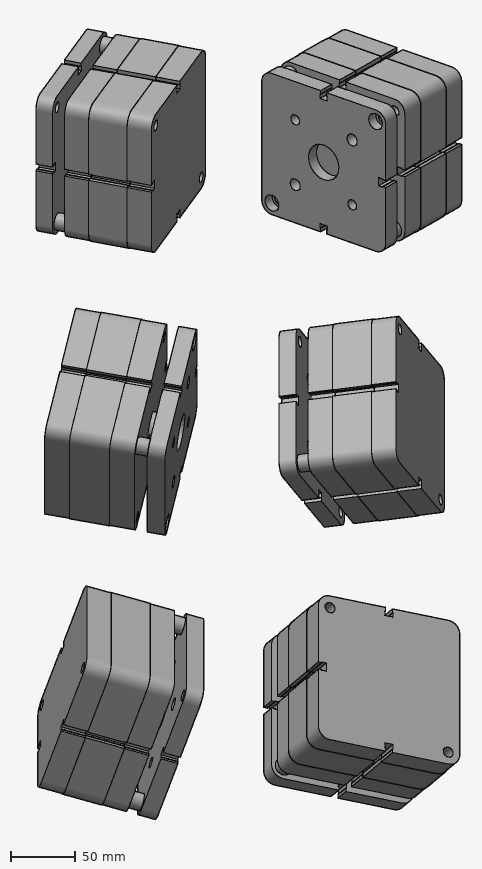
import cadquery as cq

cover_length = 20.0
tube_length = 32.0
plate_gap = 10.0
plate_thickness = 14.0

tube_width = 124.0
tube_offset = 0.35
section_width = tube_width - 2 * tube_offset
corner_radius = 10.0

slot_mouth_width = 6.0
slot_inner_width = 7.0
slot_mouth_depth = 3.2
slot_depth = 7.0

corner_spacing = 103.0
corner_offset = corner_spacing / 2
screw_hole_diameter = 8.5
counterbore_diameter = 13.5
counterbore_depth = 9.0
post_diameter = 14.0

mount_offset = 28.3
dowel_hole_diameter = 10.0
threaded_hole_diameter = 8.5
recess_diameter = 30.0
recess_depth = 10.0

rod_diameter = 25.0
rod_flats_width = 22.0
rod_collar_length = 1.2
rod_chamfer = 0.5

plate_back = -plate_gap
plate_front = plate_back - plate_thickness
screw_corners = [(-corner_offset, corner_offset), (corner_offset, -corner_offset)]
post_corners = [(corner_offset, corner_offset), (-corner_offset, -corner_offset)]
dowel_points = [(-mount_offset, mount_offset), (mount_offset, -mount_offset)]
threaded_points = [(mount_offset, mount_offset), (-mount_offset, -mount_offset)]


def cylinders(x_start, length, diameter, points):
    """Cylinders along +X at the given (Y, Z) points."""
    plane = cq.Workplane("YZ", origin=(x_start, 0, 0))
    return plane.pushPoints(points).circle(diameter / 2).extrude(length)


def slot_cutter(x_start, length, offset):
    """T-slot in the +Z side; a positive offset narrows the slot and raises its floor."""
    outer_face = section_width / 2 + offset
    shoulder = section_width / 2 - slot_mouth_depth - offset
    floor = section_width / 2 - slot_depth + offset
    mouth_half = slot_mouth_width / 2 - offset
    inner_half = slot_inner_width / 2 - offset
    outline = [
        (-mouth_half, outer_face),
        (-mouth_half, shoulder),
        (-inner_half, shoulder),
        (-inner_half, floor),
        (inner_half, floor),
        (inner_half, shoulder),
        (mouth_half, shoulder),
        (mouth_half, outer_face),
    ]
    return cq.Workplane("YZ", origin=(x_start, 0, 0)).polyline(outline).close().extrude(length)


def slotted_block(x_start, length, offset=0.0):
    """Rounded square block with three T-slots, its whole outline shifted outward by the offset."""
    width = section_width + 2 * offset
    block = cq.Workplane("YZ", origin=(x_start, 0, 0)).rect(width, width).extrude(length)
    block = block.edges("|X").fillet(corner_radius + offset)
    for angle in (0, 90, 180):
        slot = slot_cutter(x_start, length, offset)
        block = block.cut(slot.rotate((0, 0, 0), (1, 0, 0), angle))
    return block


def housing_section(x_start, length, offset=0.0):
    """One section of the housing with its two screw holes."""
    section = slotted_block(x_start, length, offset)
    return section.cut(cylinders(x_start, length, screw_hole_diameter, screw_corners))


def make_front_plate():
    """Plate with its two guide posts, which reach back to the front cover."""
    plate = slotted_block(plate_front, plate_thickness)
    hole_groups = [
        (screw_hole_diameter, screw_corners),
        (dowel_hole_diameter, dowel_points),
        (threaded_hole_diameter, threaded_points),
    ]
    for diameter, points in hole_groups:
        plate = plate.cut(cylinders(plate_front, plate_thickness, diameter, points))
    plate = plate.cut(cylinders(plate_front, counterbore_depth, counterbore_diameter, screw_corners))
    plate = plate.cut(cylinders(plate_front, recess_depth, recess_diameter, [(0, 0)]))
    return plate.union(cylinders(plate_back, plate_gap, post_diameter, post_corners))


def make_piston_rod():
    """Round rod chamfered at the plate, with flats on its +Y and -Y sides."""
    rod = cylinders(plate_back, plate_gap, rod_diameter, [(0, 0)])
    rod = rod.faces("<X").chamfer(rod_chamfer)
    flats_length = plate_gap - rod_collar_length
    flatted_zone = cq.Workplane("YZ", origin=(plate_back, 0, 0)).rect(rod_flats_width, rod_diameter)
    collar = cylinders(-rod_collar_length, rod_collar_length, rod_diameter, [(0, 0)])
    return rod.intersect(flatted_zone.extrude(flats_length).union(collar))


front_plate = make_front_plate()
piston_rod = make_piston_rod()
front_cover = housing_section(0, cover_length)
tube = housing_section(cover_length, tube_length, tube_offset)
rear_cover = housing_section(cover_length + tube_length, cover_length)

result = cq.Compound.makeCompound([
    front_plate.val(),
    piston_rod.val(),
    front_cover.val(),
    tube.val(),
    rear_cover.val(),
])